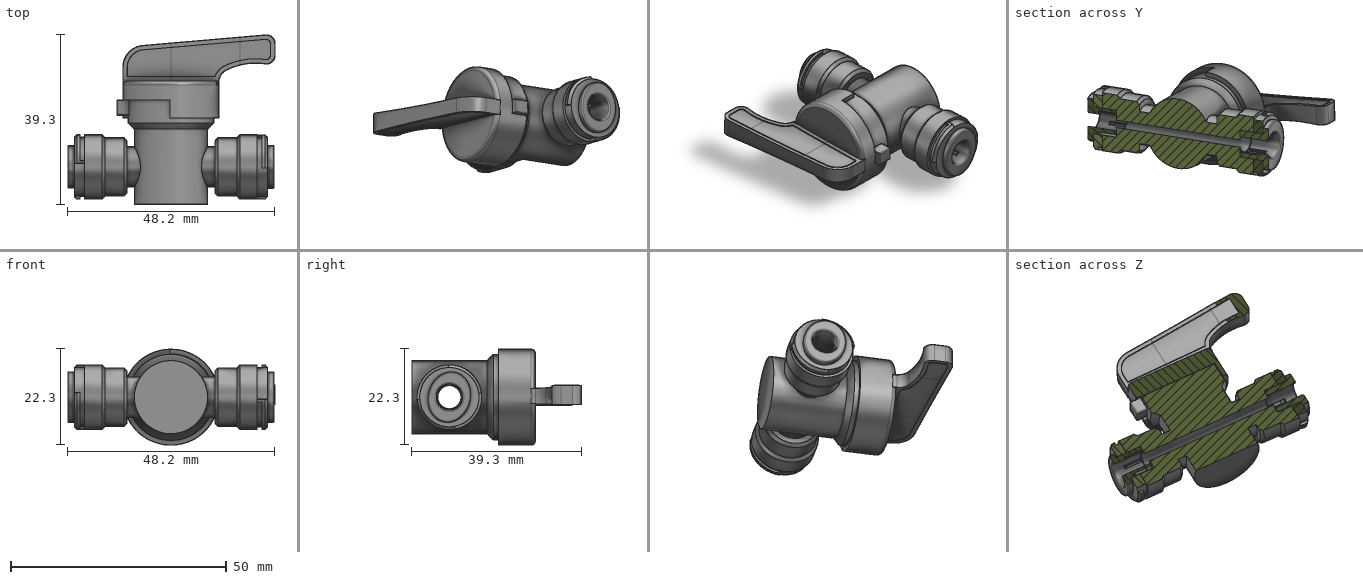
import cadquery as cq
import math


BARREL_RADIUS = 17.0 / 2
BARREL_BOTTOM = -8.7
BARREL_TOP = 8.75
BONNET_RADIUS = 9.95
BONNET_CONE_TOP = BARREL_TOP + BONNET_RADIUS - BARREL_RADIUS
BONNET_TOP = 15.5

STUB_RADIUS = 4.7
SLEEVE_START = 10.2
SLEEVE_RADIUS = 6.8
SLEEVE_CHAMFER = 0.7
COLLAR_RADIUS = 7.5
COLLAR_START = 15.3
COLLAR_CHAMFER = COLLAR_RADIUS - SLEEVE_RADIUS
COLLAR_END = 20.05
BORE_RADIUS = 2.7

LUG_REACH = 12.55
LUG_BOTTOM = 12.0
LUG_LOW_Z = -1.2
LUG_HIGH_Z = 1.95
LUG_FILLET = 0.25

CAP_END = 22.45
CAP_NECK_RADIUS = 6.9
CAP_CHAMFER = COLLAR_RADIUS - CAP_NECK_RADIUS
TAB_INNER_FACE = 21.1
STOP_ANGLE = 4.6
TAB_SECTORS = [(0, 96), (184, 84)]
RIGHT_CAP_TURN = 184
LEFT_CAP_TURN = 87.5

COLLET_END = 23.95
COLLET_INNER_END = 16.37
COLLET_HALF_HEIGHT = 5.9
COLLET_HALF_WIDTH = 4.9
COLLET_EDGE_FILLET = 0.3
COLLET_SHANK_RADIUS = 4.1
COLLET_BORE_RADIUS = 3.05
COLLET_MOUTH_FILLET = 0.35
SLIT_START = 20.95
SLIT_WIDTH = 0.85
SLIT_COUNT = 4
RIGHT_COLLET_TURN = -14
LEFT_COLLET_TURN = 8.4

HANDLE_TURN = -1.3
SKIRT_RADIUS = 22.3 / 2
SKIRT_CLEARANCE = 0.1
SKIRT_BOTTOM = 11.35
CROWN_TOP = 20.0
CROWN_FILLET = 1.0
NOTCH_LOW_Z = -1.0

LEVER_BACK = 11.12
LEVER_TIP = 24.2
LEVER_HALF_THICKNESS = 1.75
TIP_HALF_THICKNESS = 2.25
FLARE_START = 0
FLARE_STRAIGHT_START = 16.15
TOP_SLOPE = 4.9
BACK_CORNER_Y = 23.15
BACK_CORNER_RADIUS = 5.05
TIP_CORNER_RADIUS = 2.05
TIP_UNDERSIDE_Y = 23.9
UNDERSIDE_CREST = (19.0, 24.1)
UNDERSIDE_KNEE = (12.85, 22.5)
UNDERSIDE_ROOT_MIDDLE = (11.6, 21.4)
PANEL_INSET = 1.0
PANEL_DEPTH = 0.2


def cylinder_x(radius, start, end):
    return cq.Workplane("YZ").workplane(offset=start).circle(radius).extrude(end - start)


def box_between(low, high):
    size = [b - a for a, b in zip(low, high)]
    return cq.Workplane("XY").box(*size, centered=False).translate(low)


def revolved_about_x(points, angle=360):
    return cq.Workplane("XY").polyline(points).close().revolve(angle, (0, 0), (1, 0))


def turned(shape, axis, angle):
    return shape.rotate((0, 0, 0), axis, angle)


def placed_right(shape, turn):
    return turned(shape, (1, 0, 0), turn)


def placed_left(shape, turn):
    return turned(turned(shape, (0, 0, 1), 180), (1, 0, 0), turn)


def port():
    profile = [
        (0, 0),
        (0, STUB_RADIUS),
        (SLEEVE_START, STUB_RADIUS),
        (SLEEVE_START, SLEEVE_RADIUS - SLEEVE_CHAMFER),
        (SLEEVE_START + SLEEVE_CHAMFER, SLEEVE_RADIUS),
        (COLLAR_START, SLEEVE_RADIUS),
        (COLLAR_START + COLLAR_CHAMFER, COLLAR_RADIUS),
        (COLLAR_END, COLLAR_RADIUS),
        (COLLAR_END, 0),
    ]
    return revolved_about_x(profile)


def stop_lug():
    lug = box_between((-LUG_REACH, LUG_BOTTOM, LUG_LOW_Z), (0, BONNET_TOP, LUG_HIGH_Z))
    return lug.faces("<X or <Y").edges("not >X").fillet(LUG_FILLET)


def make_body():
    profile = [
        (0, BARREL_BOTTOM),
        (BARREL_RADIUS, BARREL_BOTTOM),
        (BARREL_RADIUS, BARREL_TOP),
        (BONNET_RADIUS, BONNET_CONE_TOP),
        (BONNET_RADIUS, BONNET_TOP),
        (0, BONNET_TOP),
    ]
    body = cq.Workplane("XY").polyline(profile).close().revolve(360, (0, 0), (0, 1))
    body = body.union(port()).union(placed_left(port(), 0)).union(stop_lug())
    body = body.cut(cylinder_x(BORE_RADIUS, -COLLAR_END, COLLAR_END))
    collet_seat = cylinder_x(COLLET_SHANK_RADIUS, COLLET_INNER_END, COLLAR_END)
    return body.cut(collet_seat).cut(placed_left(collet_seat, 0))


def bayonet_tab(start, sweep):
    """Flange over a sector, with a stop wall at its start that reaches the collar."""
    flange_profile = [
        (TAB_INNER_FACE, 0),
        (TAB_INNER_FACE, COLLAR_RADIUS),
        (CAP_END - CAP_CHAMFER, COLLAR_RADIUS),
        (CAP_END, CAP_NECK_RADIUS),
        (CAP_END, 0),
    ]
    stop_profile = [
        (COLLAR_END, 0),
        (COLLAR_END, COLLAR_RADIUS),
        (TAB_INNER_FACE, COLLAR_RADIUS),
        (TAB_INNER_FACE, 0),
    ]
    tab = revolved_about_x(flange_profile, sweep).union(revolved_about_x(stop_profile, STOP_ANGLE))
    return turned(tab, (1, 0, 0), start)


def make_cap():
    cap = cylinder_x(CAP_NECK_RADIUS, COLLAR_END, CAP_END)
    for start, sweep in TAB_SECTORS:
        cap = cap.union(bayonet_tab(start, sweep))
    return cap.cut(cylinder_x(COLLET_SHANK_RADIUS, COLLAR_END, CAP_END))


def make_collet():
    head = cq.Workplane("YZ").workplane(offset=CAP_END)
    head = head.ellipse(COLLET_HALF_WIDTH, COLLET_HALF_HEIGHT).extrude(COLLET_END - CAP_END)
    head = head.edges().fillet(COLLET_EDGE_FILLET)
    collet = head.union(cylinder_x(COLLET_SHANK_RADIUS, COLLET_INNER_END, CAP_END))
    collet = collet.cut(cylinder_x(COLLET_BORE_RADIUS, COLLET_INNER_END, COLLET_END))
    mouth = cq.selectors.RadiusNthSelector(0)
    collet = collet.faces(">X").edges(mouth).fillet(COLLET_MOUTH_FILLET)
    slit = box_between(
        (COLLET_INNER_END, 0, -SLIT_WIDTH / 2),
        (SLIT_START, 2 * COLLET_SHANK_RADIUS, SLIT_WIDTH / 2),
    )
    pitch = 360 / SLIT_COUNT
    first_angle = pitch / 2
    for index in range(SLIT_COUNT):
        collet = collet.cut(turned(slit, (1, 0, 0), first_angle + index * pitch))
    return collet


def lever_outline():
    """Closed side outline of the lever in the XY plane, standing on the crown."""
    slope = math.radians(TOP_SLOPE)
    back_top = (
        BACK_CORNER_RADIUS * (1 - math.sin(slope)) - LEVER_BACK,
        BACK_CORNER_Y + BACK_CORNER_RADIUS * math.cos(slope),
    )
    tip_corner_x = LEVER_TIP - TIP_CORNER_RADIUS
    top_y = back_top[1] + (tip_corner_x - back_top[0]) * math.tan(slope)
    tip_corner_y = top_y - TIP_CORNER_RADIUS / math.cos(slope)
    tip_top = (
        tip_corner_x - TIP_CORNER_RADIUS * math.sin(slope),
        tip_corner_y + TIP_CORNER_RADIUS * math.cos(slope),
    )
    return (
        cq.Workplane("XY")
        .moveTo(-LEVER_BACK, CROWN_TOP)
        .lineTo(-LEVER_BACK, BACK_CORNER_Y)
        .tangentArcPoint(back_top, relative=False)
        .lineTo(*tip_top)
        .tangentArcPoint((LEVER_TIP, tip_corner_y), relative=False)
        .lineTo(LEVER_TIP, TIP_UNDERSIDE_Y + TIP_CORNER_RADIUS)
        .tangentArcPoint((tip_corner_x, TIP_UNDERSIDE_Y), relative=False)
        .threePointArc(UNDERSIDE_CREST, UNDERSIDE_KNEE)
        .threePointArc(UNDERSIDE_ROOT_MIDDLE, (LEVER_BACK, CROWN_TOP))
        .close()
    )


def both_ways(outline):
    """Prism of an outline, reaching past the thickest part of the lever on both sides."""
    return outline.extrude(2 * TIP_HALF_THICKNESS, both=True)


def flared_slab(inset):
    """Slab along X whose thickness grows smoothly towards the lever tip."""
    half = LEVER_HALF_THICKNESS - inset
    tip_half = TIP_HALF_THICKNESS - inset
    arc_run = FLARE_STRAIGHT_START - FLARE_START
    slope = (tip_half - half) / (arc_run / 2 + LEVER_TIP - FLARE_STRAIGHT_START)
    straight_half = half + slope * arc_run / 2
    upper = (
        cq.Workplane("XZ")
        .moveTo(-LEVER_BACK, 0)
        .lineTo(-LEVER_BACK, half)
        .lineTo(FLARE_START, half)
        .tangentArcPoint((FLARE_STRAIGHT_START, straight_half), relative=False)
        .lineTo(LEVER_TIP, tip_half)
        .lineTo(LEVER_TIP, 0)
        .close()
        .extrude(-2 * CROWN_TOP)
    )
    return upper.union(upper.mirror("XY"))


def lever():
    blade = both_ways(lever_outline()).intersect(flared_slab(0))
    panels = both_ways(lever_outline().offset2D(-PANEL_INSET)).cut(flared_slab(PANEL_DEPTH))
    foot = box_between(
        (-LEVER_BACK, CROWN_TOP - CROWN_FILLET, -LEVER_HALF_THICKNESS),
        (LEVER_BACK, CROWN_TOP, LEVER_HALF_THICKNESS),
    )
    return blade.cut(panels).union(foot)


def make_handle():
    base = cq.Workplane("XZ", origin=(0, SKIRT_BOTTOM, 0))
    knob = base.circle(SKIRT_RADIUS).extrude(SKIRT_BOTTOM - CROWN_TOP)
    knob = knob.faces(">Y").edges().fillet(CROWN_FILLET)
    cavity = base.circle(BONNET_RADIUS + SKIRT_CLEARANCE).extrude(SKIRT_BOTTOM - BONNET_TOP)
    notch = box_between(
        (-SKIRT_RADIUS, SKIRT_BOTTOM, NOTCH_LOW_Z),
        (0, BONNET_TOP, SKIRT_RADIUS),
    )
    handle = knob.union(lever()).cut(cavity).cut(notch)
    return turned(handle, (0, 1, 0), HANDLE_TURN)


body = make_body()
handle = make_handle()
caps = [placed_right(make_cap(), RIGHT_CAP_TURN), placed_left(make_cap(), LEFT_CAP_TURN)]
collets = [
    placed_right(make_collet(), RIGHT_COLLET_TURN),
    placed_left(make_collet(), LEFT_COLLET_TURN),
]

result = cq.Compound.makeCompound([part.val() for part in [body, handle, *caps, *collets]])